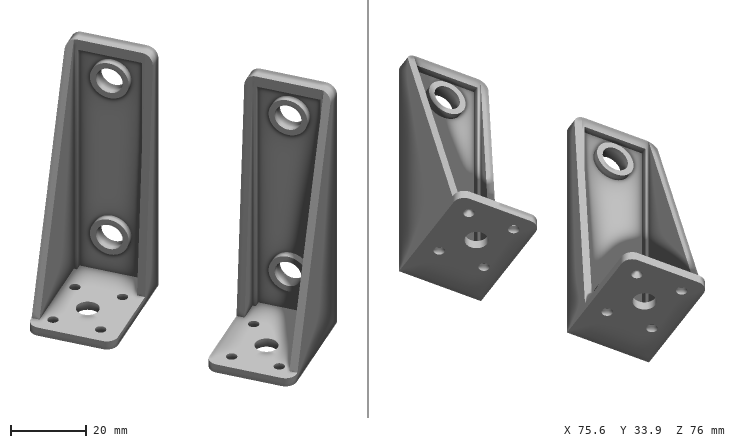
import cadquery as cq

height = 76.0
width = 24.8
depth = 33.9
bracket_pitch = 50.8
corner_radius = 3.2

foot_thickness = 2.6
back_thickness = 3.95
gusset_thickness = 2.3
tall_gusset_reach = 30.1
short_gusset_reach = 10.1

rim_width = 3.2
recess_floor = 2.0

boss_diameter = 11.0
boss_height = 4.1
back_hole_diameter = 7.6
back_hole_heights = (15.1, 65.05)

center_hole_diameter = 6.4
center_hole_y = -20.5
screw_hole_diameter = 3.05
screw_spacing_x = 13.5
screw_spacing_y = 16.7


def make_foot():
    foot = cq.Workplane("XY").box(width, depth, foot_thickness, centered=(True, False, False))
    return foot.translate((0, -depth, 0)).edges("|Z and <Y").fillet(corner_radius)


def make_back_plate():
    """Back plate with a recess open toward the foot side."""
    plate = cq.Workplane("XY").box(width, back_thickness, height, centered=(True, False, False))
    recess = cq.Workplane("XY").box(
        width - 2 * rim_width,
        back_thickness - recess_floor,
        height - rim_width - foot_thickness,
        centered=(True, False, False),
    )
    plate = plate.translate((0, -back_thickness, 0))
    return plate.cut(recess.translate((0, -back_thickness, foot_thickness)))


def make_gusset(left_x, reach):
    """Side web tapering from its reach at the foot to the back plate at the top."""
    return (
        cq.Workplane("YZ", origin=(left_x, 0, 0))
        .polyline([
            (0, 0),
            (-reach, 0),
            (-reach, foot_thickness),
            (-back_thickness, height),
            (0, height),
        ])
        .close()
        .extrude(gusset_thickness)
    )


def round_top_corners(body):
    """Trim the plate and both gussets to the same rounded outline."""
    envelope = cq.Workplane("XY").box(width, depth, height, centered=(True, False, False))
    envelope = envelope.translate((0, -depth, 0)).edges("|Y and >Z").fillet(corner_radius)
    return body.intersect(envelope)


def back_cylinders(diameter, length):
    centers = [(0, z) for z in back_hole_heights]
    return cq.Workplane("XZ").pushPoints(centers).circle(diameter / 2).extrude(length)


def foot_holes():
    plane = cq.Workplane("XY", origin=(0, center_hole_y, 0))
    center_hole = plane.circle(center_hole_diameter / 2).extrude(foot_thickness)
    screw_holes = (
        plane.rarray(screw_spacing_x, screw_spacing_y, 2, 2)
        .circle(screw_hole_diameter / 2)
        .extrude(foot_thickness)
    )
    return center_hole.union(screw_holes)


def make_bracket():
    """Left-hand bracket, with the tall gusset on its -X side."""
    upright = make_back_plate()
    upright = upright.union(make_gusset(-width / 2, tall_gusset_reach))
    upright = upright.union(make_gusset(width / 2 - gusset_thickness, short_gusset_reach))
    upright = round_top_corners(upright)
    bracket = upright.union(make_foot())
    bracket = bracket.union(back_cylinders(boss_diameter, boss_height))
    bracket = bracket.cut(back_cylinders(back_hole_diameter, boss_height))
    return bracket.cut(foot_holes())


brackets = []
for side in (-1, 1):
    bracket = make_bracket()
    if side > 0:
        bracket = bracket.mirror("YZ")
    brackets.append(bracket.translate((side * bracket_pitch / 2, 0, 0)).solids().val())

result = cq.Compound.makeCompound(brackets)